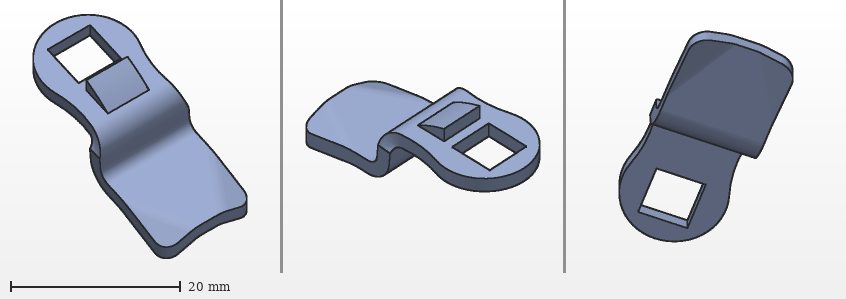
import cadquery as cq
import math

LENGTH = 30.65
WIDTH = 13.0
HALF_WIDTH = WIDTH / 2
THICKNESS = 2.0
END_X = LENGTH - HALF_WIDTH

NECK_HALF_WIDTH = 5.52
NECK_RADIUS = 15.0
HOLE_SIZE = 6.2
HOLE_X = -0.77

STOP_START_X = 3.75
STOP_LENGTH = 4.32
STOP_WIDTH = 6.0
STOP_HEIGHT = 1.9
STOP_SAGITTA = 0.15

BEND_START_X = 8.22
BEND_ANGLE = 85.0
UPPER_INNER_RADIUS = 1.0
LOWER_INNER_RADIUS = 1.5
LOWER_TOP_Z = -4.02

CORNER_RADIUS = 2.0
FOLD_START_X = 14.62
FOLD_LINE_ANGLE = 29.0
FOLD_ANGLE = 22.6
FOLD_INNER_RADIUS = 1.5

LOWER_BOTTOM_Z = LOWER_TOP_Z - THICKNESS
UPPER_OUTER_RADIUS = UPPER_INNER_RADIUS + THICKNESS
LOWER_OUTER_RADIUS = LOWER_INNER_RADIUS + THICKNESS
LEAN = math.radians(90 - BEND_ANGLE)
UPPER_AXIS_Z = -UPPER_INNER_RADIUS
LOWER_AXIS_Z = LOWER_TOP_Z + LOWER_INNER_RADIUS
AXIS_SPACING = (
    UPPER_OUTER_RADIUS + LOWER_INNER_RADIUS + (UPPER_AXIS_Z - LOWER_AXIS_Z) * math.sin(LEAN)
) / math.cos(LEAN)
LOWER_AXIS_X = BEND_START_X + AXIS_SPACING

NECK_CENTRE_Y = NECK_HALF_WIDTH + NECK_RADIUS
NECK_X = math.sqrt((HALF_WIDTH + NECK_RADIUS) ** 2 - NECK_CENTRE_Y ** 2)
FULL_WIDTH_X = NECK_X + math.sqrt(NECK_RADIUS ** 2 - (NECK_CENTRE_Y - HALF_WIDTH) ** 2)


def neck_half_width(x):
    """Half width of the strip along the neck arc."""
    return NECK_CENTRE_Y - math.sqrt(NECK_RADIUS ** 2 - (x - NECK_X) ** 2)


def around(axis_x, axis_z, radius, angle):
    """Point in the XZ plane at an angle in radians about a bend axis."""
    return (axis_x + radius * math.cos(angle), axis_z + radius * math.sin(angle))


def upper_point(radius, angle):
    return around(BEND_START_X, UPPER_AXIS_Z, radius, angle)


def lower_point(radius, angle):
    return around(LOWER_AXIS_X, LOWER_AXIS_Z, radius, angle)


def extrude_across(profile):
    """Extrude a closed XZ profile over the full part width."""
    return profile.extrude(HALF_WIDTH, both=True)


def make_upper_plate():
    tangent_share = HALF_WIDTH / (HALF_WIDTH + NECK_RADIUS)
    tangent_x = NECK_X * tangent_share
    tangent_y = NECK_CENTRE_Y * tangent_share
    end_y = neck_half_width(BEND_START_X)
    middle_x = (tangent_x + BEND_START_X) / 2
    middle_y = neck_half_width(middle_x)
    plate = (
        cq.Workplane("XY")
        .moveTo(tangent_x, tangent_y)
        .threePointArc((-HALF_WIDTH, 0), (tangent_x, -tangent_y))
        .threePointArc((middle_x, -middle_y), (BEND_START_X, -end_y))
        .lineTo(BEND_START_X, end_y)
        .threePointArc((middle_x, middle_y), (tangent_x, tangent_y))
        .close()
        .extrude(THICKNESS)
    )
    hole = cq.Workplane("XY").center(HOLE_X, 0).rect(HOLE_SIZE, HOLE_SIZE).extrude(THICKNESS)
    return plate.cut(hole)


def make_stop():
    """Wedge with a gently crowned slope, descending towards the bend."""
    slope_length = math.hypot(STOP_LENGTH, STOP_HEIGHT)
    crown_x = STOP_START_X + STOP_LENGTH / 2 + STOP_SAGITTA * STOP_HEIGHT / slope_length
    crown_z = THICKNESS + STOP_HEIGHT / 2 + STOP_SAGITTA * STOP_LENGTH / slope_length
    return (
        cq.Workplane("XZ")
        .moveTo(STOP_START_X, THICKNESS)
        .lineTo(STOP_START_X, THICKNESS + STOP_HEIGHT)
        .threePointArc((crown_x, crown_z), (STOP_START_X + STOP_LENGTH, THICKNESS))
        .close()
        .extrude(STOP_WIDTH / 2, both=True)
    )


def make_upper_bend():
    """Bend whose width continues the neck arc until it reaches full width."""
    middle = (LEAN + math.pi / 2) / 2
    bend = extrude_across(
        cq.Workplane("XZ")
        .moveTo(*upper_point(UPPER_INNER_RADIUS, math.pi / 2))
        .lineTo(*upper_point(UPPER_OUTER_RADIUS, math.pi / 2))
        .threePointArc(
            upper_point(UPPER_OUTER_RADIUS, middle), upper_point(UPPER_OUTER_RADIUS, LEAN)
        )
        .lineTo(*upper_point(UPPER_INNER_RADIUS, LEAN))
        .threePointArc(
            upper_point(UPPER_INNER_RADIUS, middle), upper_point(UPPER_INNER_RADIUS, math.pi / 2)
        )
        .close()
    )
    radial_margin = 0.45
    section_steps = 6
    radii = (UPPER_INNER_RADIUS - radial_margin, UPPER_OUTER_RADIUS + radial_margin)
    sections = []
    for step in range(section_steps + 1):
        share = step / section_steps
        angle = math.pi / 2 + share * (LEAN - math.pi / 2)
        half = neck_half_width(BEND_START_X + share * (FULL_WIDTH_X - BEND_START_X))
        inner_x, inner_z = upper_point(radii[0], angle)
        outer_x, outer_z = upper_point(radii[1], angle)
        corners = [
            cq.Vector(inner_x, -half, inner_z),
            cq.Vector(outer_x, -half, outer_z),
            cq.Vector(outer_x, half, outer_z),
            cq.Vector(inner_x, half, inner_z),
        ]
        sections.append(cq.Wire.makePolygon(corners, close=True))
    return bend.intersect(cq.Workplane(cq.Solid.makeLoft(sections)))


def make_leg_and_lower_bend():
    start = math.pi + LEAN
    end = 3 * math.pi / 2
    middle = (start + end) / 2
    return extrude_across(
        cq.Workplane("XZ")
        .moveTo(*upper_point(UPPER_INNER_RADIUS, LEAN))
        .lineTo(*upper_point(UPPER_OUTER_RADIUS, LEAN))
        .lineTo(*lower_point(LOWER_INNER_RADIUS, start))
        .threePointArc(
            lower_point(LOWER_INNER_RADIUS, middle), lower_point(LOWER_INNER_RADIUS, end)
        )
        .lineTo(*lower_point(LOWER_OUTER_RADIUS, end))
        .threePointArc(
            lower_point(LOWER_OUTER_RADIUS, middle), lower_point(LOWER_OUTER_RADIUS, start)
        )
        .close()
    )


def make_folded_corner():
    """Long strip folded down beyond the slanted fold line on the +Y side."""
    reach = LENGTH / 2
    fold = math.radians(FOLD_ANGLE)
    slant = math.radians(FOLD_LINE_ANGLE)
    outer_radius = FOLD_INNER_RADIUS + THICKNESS
    axis_z = LOWER_BOTTOM_Z - FOLD_INNER_RADIUS

    def fold_point(radius, angle):
        return (radius * math.sin(angle), axis_z + radius * math.cos(angle))

    inner_end = fold_point(FOLD_INNER_RADIUS, fold)
    outer_end = fold_point(outer_radius, fold)
    run = reach * math.cos(fold)
    drop = reach * math.sin(fold)
    across_fold = cq.Plane(
        origin=(FOLD_START_X, HALF_WIDTH, 0),
        xDir=(math.sin(slant), math.cos(slant), 0),
        normal=(math.cos(slant), -math.sin(slant), 0),
    )
    return (
        cq.Workplane(across_fold)
        .moveTo(0, LOWER_BOTTOM_Z)
        .lineTo(0, LOWER_TOP_Z)
        .threePointArc(fold_point(outer_radius, fold / 2), outer_end)
        .lineTo(outer_end[0] + run, outer_end[1] - drop)
        .lineTo(inner_end[0] + run, inner_end[1] - drop)
        .lineTo(*inner_end)
        .threePointArc(fold_point(FOLD_INNER_RADIUS, fold / 2), (0, LOWER_BOTTOM_Z))
        .close()
        .extrude(reach)
    )


def make_lower_plate():
    fold_end_y = HALF_WIDTH - (END_X - FOLD_START_X) * math.tan(math.radians(FOLD_LINE_ANGLE))
    flat = (
        cq.Workplane("XY")
        .workplane(offset=LOWER_BOTTOM_Z)
        .polyline([
            (LOWER_AXIS_X, HALF_WIDTH),
            (FOLD_START_X, HALF_WIDTH),
            (END_X, fold_end_y),
            (END_X, -fold_end_y),
            (FOLD_START_X, -HALF_WIDTH),
            (LOWER_AXIS_X, -HALF_WIDTH),
        ])
        .close()
        .extrude(THICKNESS)
    )
    corner = make_folded_corner()
    outline_length = END_X - LOWER_AXIS_X
    outline = (
        cq.Workplane("XY")
        .box(outline_length, WIDTH, LENGTH)
        .edges("|Z and >X")
        .fillet(CORNER_RADIUS)
        .translate((LOWER_AXIS_X + outline_length / 2, 0, 0))
    )
    return flat.union(corner).union(corner.mirror("XZ")).intersect(outline)


result = (
    make_upper_plate()
    .union(make_stop())
    .union(make_upper_bend())
    .union(make_leg_and_lower_bend())
    .union(make_lower_plate())
)